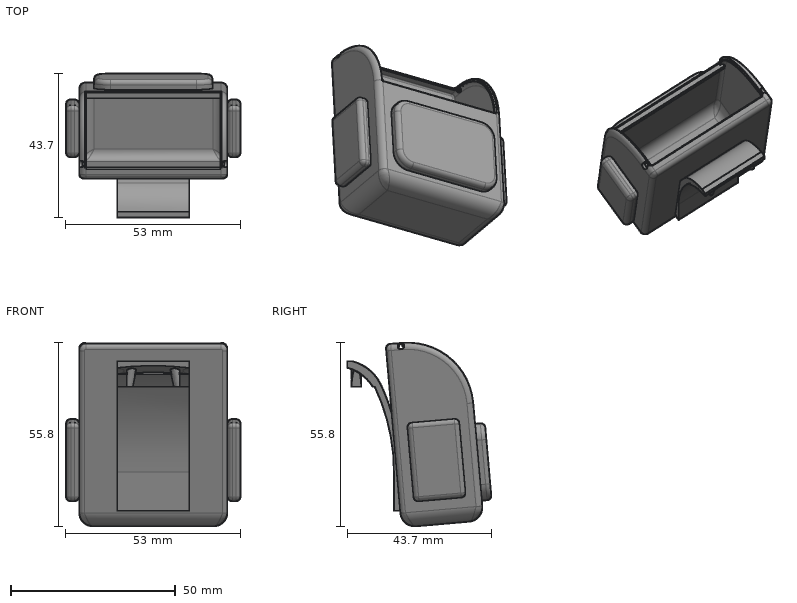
import cadquery as cq
import math

TILT = 5.0
WIDTH = 45.0
DEPTH = 25.0
HEIGHT = 55.9
WALL = 1.0
ROOF_RADIUS = 20.0
PIVOT_Y = DEPTH - ROOF_RADIUS
PIVOT_Z = HEIGHT - ROOF_RADIUS
BOTTOM_RADIUS = 4.5
RIM_RADIUS = 2.0
FRONT_RADIUS = 1.5

OPENING_HALF_WIDTH = 20.35
OPENING_FRONT_Y = 3.55
OPENING_FLARE = 0.45

BAR_THICKNESS = 1.0
BAR_HEIGHT = 2.2

PIN_DIA = 1.0
PIN_SEAT_DIA = 2.0
PIN_SEAT_DEPTH = 1.5
PIN_Y = 4.6
PIN_Z = HEIGHT - 0.9

SIDE_PAD_THICKNESS = 4.0
SIDE_PAD_DEPTH = 15.85
SIDE_PAD_FRONT_Y = 4.4
SIDE_PAD_HEIGHT = 24.0
SIDE_PAD_BASE_Z = 7.5
PAD_RADIUS = 1.5

BACK_PAD_WIDTH = 36.0
BACK_PAD_HEIGHT = 23.5
BACK_PAD_BASE_Z = 6.0
BACK_PAD_THICKNESS = 3.0
BACK_PAD_CORNER = 5.0

CLIP_WIDTH = 21.9
CLIP_THICKNESS = 2.0
CLIP_FACE_Y = -2.36
CLIP_BASE_Z = 5.1
CLIP_BEND_Z = 17.0
CLIP_BEND_RADIUS = 60.0
CLIP_STEP_Z = 42.75
CLIP_STEP = 0.6
CLIP_TIP_Y = -16.5
CLIP_TIP_Z = 50.5
CLIP_TIP_FLAT = 1.75
TIP_UNDERSIDE_MID = (-12.4, 46.6)
TIP_TOP_MID = (-9.9, 48.0)
TIP_ARCH_RISE = 0.6
TIP_ARCH_LENGTH = 4.5
TIP_SLOPE = -25.0

PRONG_DIA = 3.0
PRONG_FLAT_X = 8.0
PRONG_INNER_X = 6.2
PRONG_Y = -13.7
PRONG_LEAN = 11.4
PRONG_ROOT_Z = 49.0


def housing_profile(inset):
    """Side outline of the housing, moved inward by inset."""
    roof = ROOF_RADIUS - inset
    mid = roof * math.sqrt(0.5)
    return (
        cq.Workplane("YZ")
        .moveTo(inset, inset)
        .lineTo(DEPTH - inset, inset)
        .lineTo(DEPTH - inset, PIVOT_Z)
        .threePointArc((PIVOT_Y + mid, PIVOT_Z + mid), (PIVOT_Y, HEIGHT - inset))
        .lineTo(inset, HEIGHT - inset)
        .close()
    )


def housing_block(inset):
    """Solid housing moved inward by inset, with its rounded edges."""
    block = housing_profile(inset).extrude(WIDTH / 2 - inset, both=True)
    block = block.faces("<X or >X").edges("not(<Z or <Y)").fillet(RIM_RADIUS - inset)
    block = block.faces("<Y").edges("not <Z").fillet(FRONT_RADIUS - inset)
    return block.faces("<Z").edges().fillet(BOTTOM_RADIUS - inset)


def roof_opening():
    """Cutter that sweeps the flared opening around the roof, from the back wall to the front lip."""
    narrow = OPENING_HALF_WIDTH
    wide = OPENING_HALF_WIDTH + OPENING_FLARE
    flare_start = ROOF_RADIUS - OPENING_FLARE
    beyond = ROOF_RADIUS + 1
    right_edge = [(narrow, 0), (narrow, flare_start), (wide, ROOF_RADIUS), (wide, beyond)]
    left_edge = [(-x, r) for x, r in reversed(right_edge)]
    section = cq.Sketch().polygon(right_edge + left_edge + right_edge[:1])
    pivot_plane = cq.Workplane("XZ", origin=(0, PIVOT_Y, PIVOT_Z))
    swept = pivot_plane.placeSketch(section).revolve(90, (0, 0), (-1, 0))
    straight = pivot_plane.placeSketch(section).extrude(PIVOT_Y - OPENING_FRONT_Y)
    front_bevel = (
        cq.Workplane("YZ")
        .moveTo(OPENING_FRONT_Y, HEIGHT - WALL)
        .lineTo(OPENING_FRONT_Y, HEIGHT)
        .lineTo(OPENING_FRONT_Y - OPENING_FLARE, HEIGHT)
        .close()
        .extrude(narrow, both=True)
    )
    back_bevel = (
        cq.Workplane("YZ")
        .moveTo(DEPTH - OPENING_FLARE, PIVOT_Z)
        .lineTo(DEPTH, PIVOT_Z)
        .lineTo(DEPTH, PIVOT_Z - OPENING_FLARE)
        .close()
        .extrude(narrow, both=True)
    )
    return swept.union(straight).union(front_bevel).union(back_bevel)


def stiffening_bar():
    """Bar across the inside of the back wall, just below the opening."""
    return cq.Workplane("XY").box(
        WIDTH - 2 * WALL, BAR_THICKNESS, BAR_HEIGHT, centered=(True, False, False)
    ).translate((0, DEPTH - WALL - BAR_THICKNESS, PIVOT_Z - BAR_HEIGHT))


def pin_holes():
    """Hinge pin holes through both side walls, each with a wider seat outside."""
    pin_plane = cq.Workplane("YZ").center(PIN_Y, PIN_Z)
    holes = pin_plane.circle(PIN_DIA / 2).extrude(WIDTH / 2, both=True)
    for side in (-1, 1):
        seat = (
            pin_plane.workplane(offset=side * WIDTH / 2)
            .circle(PIN_SEAT_DIA / 2)
            .extrude(-side * PIN_SEAT_DEPTH)
        )
        holes = holes.union(seat)
    return holes


def side_pad(side):
    """Pillow-shaped pad on one side wall; side is -1 or 1."""
    pad = cq.Workplane("XY").box(SIDE_PAD_THICKNESS, SIDE_PAD_DEPTH, SIDE_PAD_HEIGHT)
    pad = pad.edges().fillet(PAD_RADIUS)
    return pad.translate((
        side * (WIDTH + SIDE_PAD_THICKNESS) / 2,
        SIDE_PAD_FRONT_Y + SIDE_PAD_DEPTH / 2,
        SIDE_PAD_BASE_Z + SIDE_PAD_HEIGHT / 2,
    ))


def back_pad():
    """Rounded plate on the back wall."""
    pad = cq.Workplane("XY").box(
        BACK_PAD_WIDTH, BACK_PAD_THICKNESS, BACK_PAD_HEIGHT, centered=(True, False, False)
    )
    pad = pad.edges("|Y").fillet(BACK_PAD_CORNER)
    pad = pad.faces(">Y").edges().fillet(PAD_RADIUS)
    return pad.translate((0, DEPTH, BACK_PAD_BASE_Z))


def tilted(shape):
    """Lean a shape forward about the bottom front edge of the housing."""
    return shape.rotate((0, 0, 0), (1, 0, 0), TILT)


def bend_y(face_y, radius, z):
    """Y of a clip face that leaves the vertical at CLIP_BEND_Z and curves toward -Y."""
    return face_y - radius + math.sqrt(radius**2 - (z - CLIP_BEND_Z) ** 2)


def clip_blade():
    """Bent strip that rises from the front wall and curls forward."""
    back_y = CLIP_FACE_Y + CLIP_THICKNESS
    outer_radius = CLIP_BEND_RADIUS + CLIP_THICKNESS
    half_bend_z = (CLIP_BEND_Z + CLIP_STEP_Z) / 2
    step_face_y = bend_y(CLIP_FACE_Y, CLIP_BEND_RADIUS, CLIP_STEP_Z)
    step_back_y = bend_y(back_y, outer_radius, CLIP_STEP_Z)
    return (
        cq.Workplane("YZ")
        .moveTo(CLIP_FACE_Y, CLIP_BASE_Z)
        .lineTo(CLIP_FACE_Y, CLIP_BEND_Z)
        .threePointArc(
            (bend_y(CLIP_FACE_Y, CLIP_BEND_RADIUS, half_bend_z), half_bend_z),
            (step_face_y, CLIP_STEP_Z),
        )
        .lineTo(step_face_y - CLIP_STEP, CLIP_STEP_Z)
        .threePointArc(TIP_UNDERSIDE_MID, (CLIP_TIP_Y, CLIP_TIP_Z - CLIP_THICKNESS))
        .lineTo(CLIP_TIP_Y, CLIP_TIP_Z)
        .lineTo(CLIP_TIP_Y + CLIP_TIP_FLAT, CLIP_TIP_Z)
        .threePointArc(TIP_TOP_MID, (step_back_y, CLIP_STEP_Z))
        .threePointArc(
            (bend_y(back_y, outer_radius, half_bend_z), half_bend_z),
            (back_y, CLIP_BEND_Z),
        )
        .lineTo(back_y, CLIP_BASE_Z)
        .close()
        .extrude(CLIP_WIDTH / 2, both=True)
    )


def tip_arch():
    """Cutter that hollows the underside of the clip tip with a shallow arch across its width."""
    half = CLIP_WIDTH / 2
    arch = (
        cq.Workplane("XZ")
        .moveTo(-half, 0)
        .threePointArc((0, TIP_ARCH_RISE), (half, 0))
        .close()
        .extrude(TIP_ARCH_LENGTH, both=True)
    )
    return arch.rotate((0, 0, 0), (1, 0, 0), TIP_SLOPE).translate(
        (0, CLIP_TIP_Y, CLIP_TIP_Z - CLIP_THICKNESS)
    )


def prong(side):
    """Round prong under the clip tip, leaning outward and cut flat outside; side is -1 or 1."""
    height = PRONG_ROOT_Z - CLIP_STEP_Z
    end_x = PRONG_INNER_X + PRONG_DIA / 2
    root_x = end_x - height * math.tan(math.radians(PRONG_LEAN))
    axis = cq.Workplane("XZ", origin=(0, PRONG_Y, 0)).polyline([
        (side * end_x, CLIP_STEP_Z),
        (side * root_x, PRONG_ROOT_Z),
    ])
    end_plane = cq.Workplane("XY", origin=(side * end_x, PRONG_Y, CLIP_STEP_Z))
    post = end_plane.circle(PRONG_DIA / 2).sweep(axis)
    beyond_flat = cq.Workplane("XY").box(PRONG_DIA, PRONG_DIA, height).translate((
        side * (PRONG_FLAT_X + PRONG_DIA / 2),
        PRONG_Y,
        CLIP_STEP_Z + height / 2,
    ))
    return post.cut(beyond_flat)


housing = housing_block(0)
for side in (-1, 1):
    housing = housing.union(side_pad(side))
housing = housing.union(back_pad())

cavity = housing_block(WALL).cut(stiffening_bar())
clip = clip_blade().cut(tip_arch())
for side in (-1, 1):
    clip = clip.union(prong(side))

result = tilted(housing).union(clip)
for cutter in (cavity, roof_opening(), pin_holes()):
    result = result.cut(tilted(cutter))